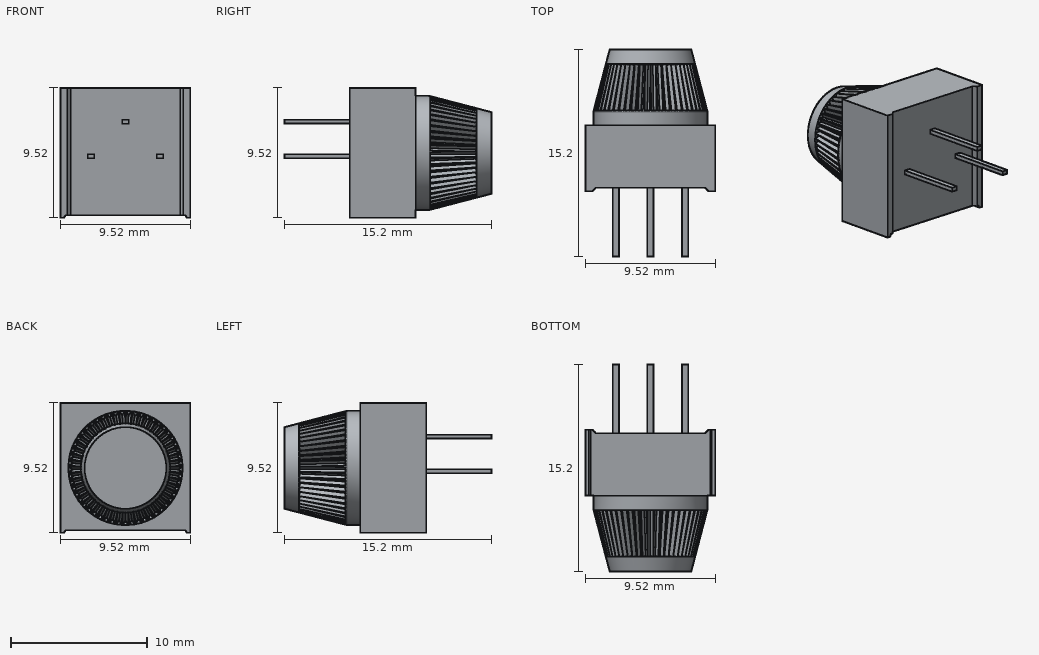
import cadquery as cq
import math


body_size = 9.52
body_depth = 4.85
foot_width = 0.52
foot_height = 0.26
foot_slope = 0.25

channel_depth = 0.2
channel_rim = 0.26
channel_slope = 0.12

total_length = 15.19
pin_width = 0.47
pin_thickness = 0.3
pin_pitch = 2.54
upper_pin_z = 2.3
pin_embed = 0.15

knob_length = 5.56
knob_radius = 8.38 / 2
collar_length = 0.97
tip_radius = 3.0

groove_count = 53
groove_width = 0.38
groove_depth = groove_width * math.sqrt(3) / 2
groove_tip_gap = 1.08
groove_collar_gap = 0.1
groove_overlap = 0.08

half = body_size / 2
pin_length = total_length - knob_length - body_depth
body_front_y = -body_depth
floor_y = body_front_y + foot_height


def make_body():
    floor_half = half - foot_width - foot_slope
    foot_half = half - foot_width
    block = (
        cq.Workplane("XY")
        .workplane(offset=-half)
        .polyline([
            (-half, 0),
            (half, 0),
            (half, body_front_y),
            (foot_half, body_front_y),
            (floor_half, floor_y),
            (-floor_half, floor_y),
            (-foot_half, body_front_y),
            (-half, body_front_y),
        ])
        .close()
        .extrude(body_size)
    )
    mouth_half = half - channel_rim
    bed_half = mouth_half - channel_slope
    channel = (
        cq.Workplane("XZ")
        .polyline([
            (-mouth_half, -half),
            (mouth_half, -half),
            (bed_half, -half + channel_depth),
            (-bed_half, -half + channel_depth),
        ])
        .close()
        .extrude(body_depth)
    )
    return block.cut(channel)


def make_pins():
    lower_pin_z = upper_pin_z - pin_pitch
    centres = [(-pin_pitch, lower_pin_z), (0, upper_pin_z), (pin_pitch, lower_pin_z)]
    return (
        cq.Workplane("XZ", origin=(0, floor_y + pin_embed, 0))
        .pushPoints(centres)
        .rect(pin_width, pin_thickness)
        .extrude(pin_embed + foot_height + pin_length)
    )


def make_groove_cutter():
    """Triangular prism over the +Z side of the cone, running down its slope from the tip end."""
    radius_gain = knob_radius - tip_radius
    cone_length = knob_length - collar_length
    start_radius = tip_radius + radius_gain * groove_tip_gap / cone_length
    run = cone_length - groove_tip_gap - groove_collar_gap
    slope_length = run / cone_length * math.hypot(cone_length, radius_gain)
    down_slope = cq.Plane(
        origin=(0, knob_length - groove_tip_gap, start_radius),
        xDir=(1, 0, 0),
        normal=(0, -cone_length, radius_gain),
    )
    top_half_width = groove_width / 2 * (1 + groove_overlap / groove_depth)
    return (
        cq.Workplane(down_slope)
        .polyline([
            (0, -groove_depth),
            (top_half_width, groove_overlap),
            (-top_half_width, groove_overlap),
        ])
        .close()
        .extrude(slope_length)
    )


def make_knob():
    knob = (
        cq.Workplane("XY")
        .polyline([
            (0, 0),
            (knob_radius, 0),
            (knob_radius, collar_length),
            (tip_radius, knob_length),
            (0, knob_length),
        ])
        .close()
        .revolve(360, (0, 0, 0), (0, 1, 0))
    )
    cutter = make_groove_cutter()
    pitch_angle = 360 / groove_count
    for index in range(groove_count):
        angle = (index + 0.5) * pitch_angle
        knob = knob.cut(cutter.rotate((0, 0, 0), (0, 1, 0), angle))
    return knob


result = make_body().union(make_knob()).union(make_pins())